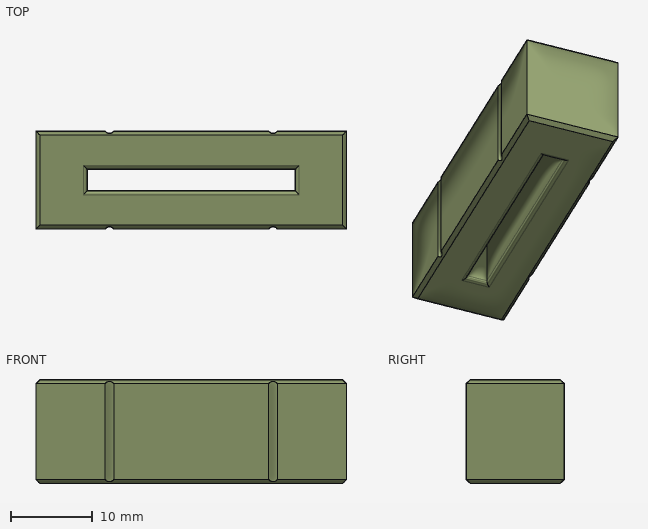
import cadquery as cq

length = 38.0
width = 12.0
height = 12.7
edge_chamfer = 0.5

slot_length = 25.4
slot_width = 2.6
slot_rim_radius = 0.5

groove_spacing = 20.0
groove_width = 1.06
groove_depth = 0.28
groove_radius = ((groove_width / 2) ** 2 + groove_depth ** 2) / (2 * groove_depth)
groove_axis_y = width / 2 - groove_depth + groove_radius


def block():
    """Plain block with its top and bottom outer edges chamfered."""
    return (
        cq.Workplane("XY")
        .box(length, width, height)
        .faces("<Z or >Z")
        .edges()
        .chamfer(edge_chamfer)
    )


def cut_slot(body):
    """Cut the slot right through and round its rims."""
    slotted = body.cut(cq.Workplane("XY").box(slot_length, slot_width, height))
    rim_reach = slot_length / 2 + slot_rim_radius
    rim_zone = cq.selectors.BoxSelector(
        (-rim_reach, -slot_width, -height),
        (rim_reach, slot_width, height),
    )
    return slotted.faces("<Z or >Z").edges(rim_zone).fillet(slot_rim_radius)


def groove_cutters():
    """Upright cylinders that graze the two long sides."""
    centers = []
    for side_x in (-1, 1):
        for side_y in (-1, 1):
            centers.append((side_x * groove_spacing / 2, side_y * groove_axis_y))
    return (
        cq.Workplane("XY")
        .workplane(offset=-height / 2)
        .pushPoints(centers)
        .circle(groove_radius)
        .extrude(height)
    )


housing = cut_slot(block()).cut(groove_cutters())

result = cq.Compound.makeCompound([housing.val()])